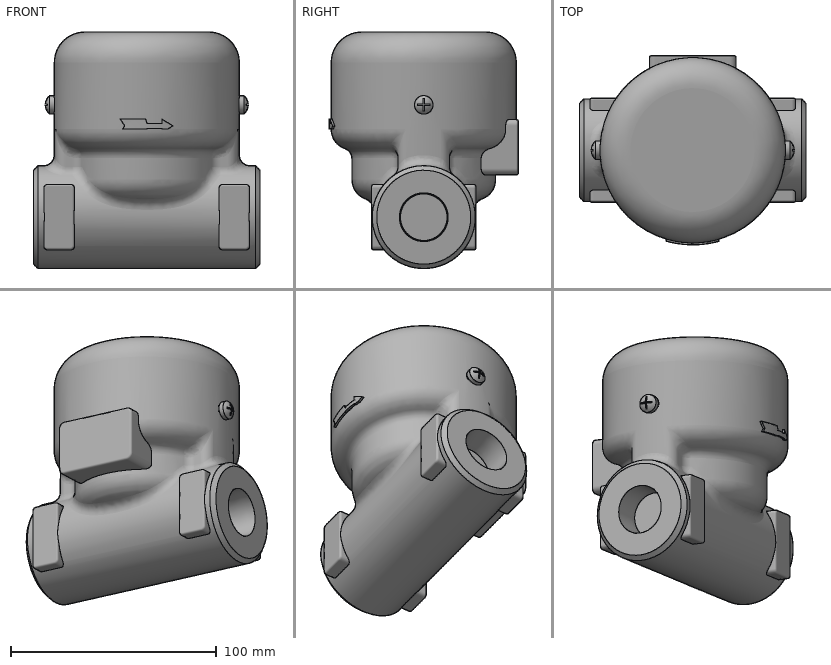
import cadquery as cq
import math

pipe_length = 110.0
pipe_dia = 50.0
pipe_radius = pipe_dia / 2
pipe_axis_z = pipe_radius
pipe_chamfer = 2.2
top_z = 115

bore_dia = 22.7
bore_mouth_dia = 23.7
taper_depth = 12.4
bore_depth = 15

chamber_dia = 90.0
chamber_radius = chamber_dia / 2
crown_fillet = 15
cup_bend_z = 67.7
bowl_radius = 35.0
bowl_bend_z = 43.2
chamber_bend = 10.0
bowl_bottom_z = bowl_bend_z - chamber_bend
blend = 5.0

neck_width = 25.1

flat_length = 15
flat_height = 31.9
flat_span = 50.6
flat_center_x = 42.5
flat_corner = 2.0
flat_edge_fillet = 1.0

pad_width = 42.1
pad_bottom_z = 45.5
pad_top_z = 72.5
pad_face_y = 46
pad_corner = 3.0
pad_edge_fillet = 1.0

arrow_face_radius = 46
arrow_root_depth = 1.2
arrow_center_z = 69.3
arrow_tail_x = -12.9
arrow_notch_x = -10.7
arrow_flag_end_x = -0.6
arrow_shaft_start_x = 0.1
arrow_head_x = 7.4
arrow_tip_x = 12.6
arrow_half_height = 3.3
arrow_shaft_half_height = 1.3

screw_dia = 9.0
screw_z = 79.6
screw_seat_x = 44.3
screw_rim_x = 47.2
screw_tip_x = 49.3
slot_length = 6.7
slot_width = 0.6
slot_depth = 0.9


def make_chamber():
    """Turned chamber: domed top, cup rounded underneath, narrower bowl below it."""
    cup_arc_x = chamber_radius - chamber_bend
    neck_arc_x = bowl_radius + blend
    centers_rise = math.sqrt((chamber_bend + blend) ** 2 - (neck_arc_x - cup_arc_x) ** 2)
    neck_arc_z = cup_bend_z - centers_rise
    centers_angle = math.atan2(-centers_rise, neck_arc_x - cup_arc_x)

    def on_cup_arc(angle):
        return (cup_arc_x + chamber_bend * math.cos(angle), cup_bend_z + chamber_bend * math.sin(angle))

    def on_neck_arc(angle):
        return (neck_arc_x + blend * math.cos(angle), neck_arc_z + blend * math.sin(angle))

    neck_arc_start = centers_angle + math.pi
    profile = (
        cq.Workplane("XZ")
        .moveTo(0, top_z)
        .lineTo(chamber_radius - crown_fillet, top_z)
        .radiusArc((chamber_radius, top_z - crown_fillet), crown_fillet)
        .lineTo(chamber_radius, cup_bend_z)
        .threePointArc(on_cup_arc(centers_angle / 2), on_cup_arc(centers_angle))
        .threePointArc(on_neck_arc((neck_arc_start + math.pi) / 2), on_neck_arc(math.pi))
        .lineTo(bowl_radius, bowl_bend_z)
        .radiusArc((bowl_radius - chamber_bend, bowl_bottom_z), chamber_bend)
        .lineTo(0, bowl_bottom_z)
        .close()
    )
    return profile.revolve(360, (0, 0, 0), (0, 1, 0))


def make_necks():
    """Both necks as one slab, rounded outside to the chamber radius."""
    height = cup_bend_z - pipe_axis_z
    slab = cq.Workplane("XY").box(pipe_length, neck_width, height, centered=(True, True, False))
    drum = cq.Workplane("XY").circle(chamber_radius).extrude(height)
    return slab.intersect(drum).edges("|Z").fillet(blend).translate((0, 0, pipe_axis_z))


def make_pipe():
    return (
        cq.Workplane("YZ")
        .center(0, pipe_axis_z)
        .circle(pipe_radius)
        .extrude(pipe_length)
        .translate((-pipe_length / 2, 0, 0))
    )


def blend_junctions(casting):
    """Round the inside corners between pipe, necks and chamber; each picked edge carries its smooth run."""
    neck_bowl_x = math.sqrt(bowl_radius ** 2 - (neck_width / 2) ** 2)
    neck_bowl_z = (bowl_bend_z + cup_bend_z - chamber_bend) / 2
    pipe_half_width = math.sqrt(pipe_radius ** 2 - (bowl_bottom_z - pipe_axis_z) ** 2)
    corner_points = []
    for side in (-1, 1):
        corner_points.append((side * chamber_radius, 0, pipe_dia))
        corner_points.append((0, side * pipe_half_width, bowl_bottom_z))
        for end in (-1, 1):
            corner_points.append((end * neck_bowl_x, side * neck_width / 2, neck_bowl_z))
    picked = casting.newObject([])
    for point in corner_points:
        picked = picked.add(casting.edges(cq.selectors.NearestToPointSelector(point)))
    return picked.fillet(blend)


def chamfer_pipe_ends(casting):
    return casting.faces("<X or >X").edges().chamfer(pipe_chamfer)


def make_wrench_flats(center_x):
    """Block across one pipe end that shows as a rounded flat pad on each side."""
    return (
        cq.Workplane("XY")
        .box(flat_length, flat_span, flat_height)
        .edges("|Y")
        .fillet(flat_corner)
        .faces("<Y or >Y")
        .edges()
        .fillet(flat_edge_fillet)
        .translate((center_x, 0, pipe_axis_z))
    )


def make_name_plate_pad():
    height = pad_top_z - pad_bottom_z
    return (
        cq.Workplane("XY")
        .box(pad_width, pad_face_y, height, centered=(True, False, False))
        .edges("|Y")
        .fillet(pad_corner)
        .faces(">Y")
        .edges()
        .fillet(pad_edge_fillet)
        .translate((0, 0, pad_bottom_z))
    )


def make_flow_arrow():
    """Arrow wrapped on the chamber wall, cut off where the cup starts to bend inward."""
    outline = [
        (arrow_tail_x, arrow_half_height),
        (arrow_flag_end_x, arrow_half_height),
        (arrow_shaft_start_x, arrow_shaft_half_height),
        (arrow_head_x, arrow_shaft_half_height),
        (arrow_head_x, arrow_half_height),
        (arrow_tip_x, 0),
        (arrow_head_x, -arrow_half_height),
        (arrow_head_x, -arrow_shaft_half_height),
        (arrow_shaft_start_x, -arrow_shaft_half_height),
        (arrow_flag_end_x, -arrow_half_height),
        (arrow_tail_x, -arrow_half_height),
        (arrow_notch_x, 0),
    ]
    prism = (
        cq.Workplane("XZ")
        .center(0, arrow_center_z)
        .polyline(outline)
        .close()
        .extrude(arrow_face_radius)
    )
    wall_band = (
        cq.Workplane("XY")
        .workplane(offset=cup_bend_z)
        .circle(arrow_face_radius)
        .circle(chamber_radius - arrow_root_depth)
        .extrude(top_z - cup_bend_z)
    )
    return prism.intersect(wall_band)


def make_pipe_bore():
    """Blind bore of the -X pipe end: a slight cone followed by a straight stretch."""
    outer_x = -pipe_length / 2
    profile = [
        (outer_x, 0),
        (outer_x, bore_mouth_dia / 2),
        (outer_x + taper_depth, bore_dia / 2),
        (outer_x + bore_depth, bore_dia / 2),
        (outer_x + bore_depth, 0),
    ]
    bore = cq.Workplane("XY").polyline(profile).close().revolve(360, (0, 0, 0), (1, 0, 0))
    return bore.translate((0, 0, pipe_axis_z))


def make_screw():
    """Domed screw head on the +X side with a cross slot; it starts at the flat floor of its seat."""
    dome_start = (screw_rim_x, screw_dia / 2)
    dome_height = screw_tip_x - screw_rim_x
    dome_radius = ((screw_dia / 2) ** 2 + dome_height ** 2) / (2 * dome_height)
    head = (
        cq.Workplane("XY")
        .moveTo(screw_seat_x, 0)
        .lineTo(screw_seat_x, screw_dia / 2)
        .lineTo(*dome_start)
        .radiusArc((screw_tip_x, 0), dome_radius)
        .close()
        .revolve(360, (0, 0, 0), (1, 0, 0))
    )
    slot_x = screw_tip_x - slot_depth / 2
    for slot_y, slot_z in ((slot_length, slot_width), (slot_width, slot_length)):
        slot = cq.Workplane("XY").box(slot_depth, slot_y, slot_z).translate((slot_x, 0, 0))
        head = head.cut(slot)
    return head.translate((0, 0, screw_z))


def make_screw_seat():
    depth = chamber_radius - screw_seat_x
    return (
        cq.Workplane("YZ")
        .workplane(offset=screw_seat_x)
        .center(0, screw_z)
        .circle(screw_dia / 2)
        .extrude(2 * depth)
    )


def on_both_ends(shape):
    """The shape and its copy turned half a revolution about Z."""
    return [shape.rotate((0, 0, 0), (0, 0, 1), turn) for turn in (0, 180)]


def make_housing():
    casting = make_chamber().union(make_necks()).union(make_pipe())
    casting = chamfer_pipe_ends(blend_junctions(casting))
    for center_x in (-flat_center_x, flat_center_x):
        casting = casting.union(make_wrench_flats(center_x))
    casting = casting.union(make_name_plate_pad()).union(make_flow_arrow())
    for bore in on_both_ends(make_pipe_bore()):
        casting = casting.cut(bore)
    for seat in on_both_ends(make_screw_seat()):
        casting = casting.cut(seat)
    return casting


housing = make_housing()
screws = on_both_ends(make_screw())

result = cq.Compound.makeCompound([housing.val(), *[screw.val() for screw in screws]])